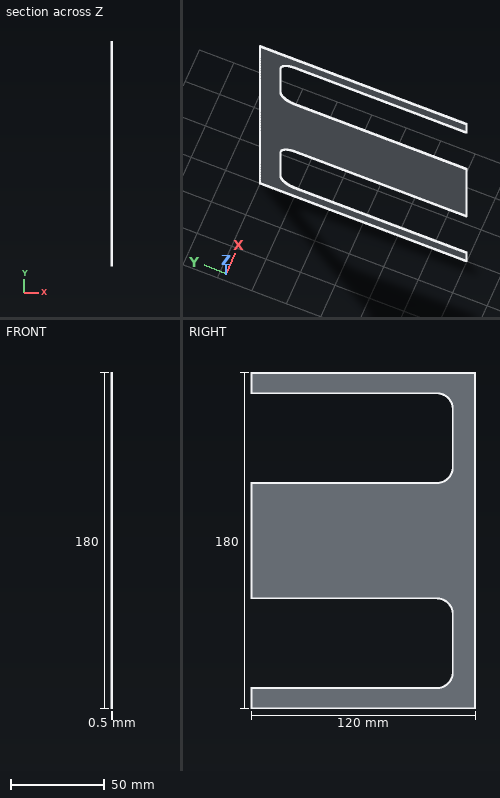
import cadquery as cq

thickness = 0.5
depth = 120.0
height = 180.0

back_strip_width = 12.0
arm_width = 11.0
slot_height = 48.0
slot_corner_radius = 8.5

slot_length = depth - back_strip_width
slot_centre_y = -back_strip_width / 2
slot_offset_z = height / 2 - arm_width - slot_height / 2


def make_slot(centre_z):
    """Slot open at the -Y edge, with rounded corners at its closed +Y end."""
    return (
        cq.Workplane("XY")
        .box(thickness, slot_length, slot_height)
        .edges("|X and >Y")
        .fillet(slot_corner_radius)
        .translate((0, slot_centre_y, centre_z))
    )


result = cq.Workplane("XY").box(thickness, depth, height)
for side in (-1, 1):
    result = result.cut(make_slot(side * slot_offset_z))